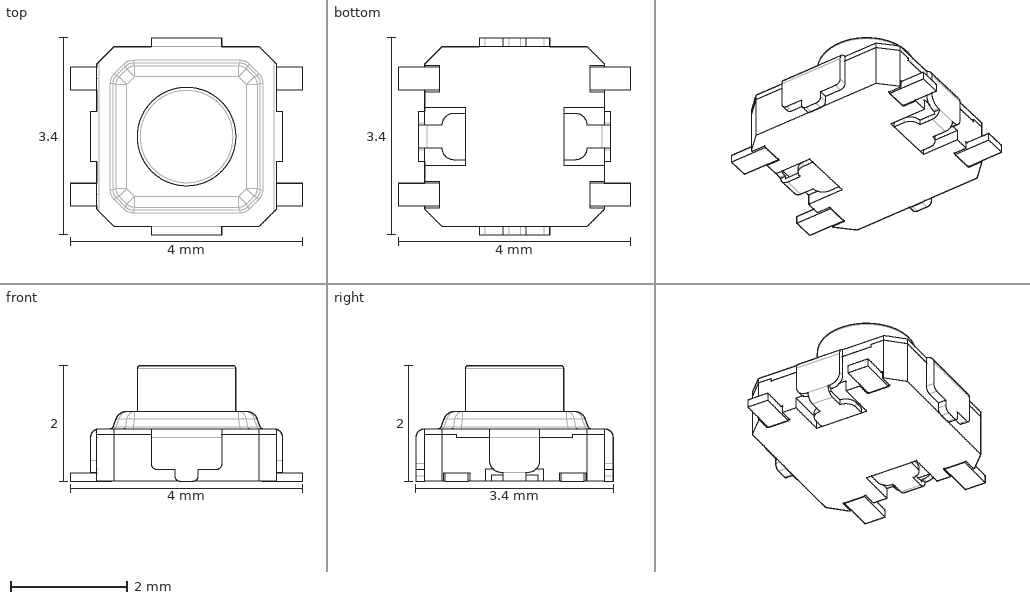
import cadquery as cq
import math

overall_length = 4.0
overall_width = 3.4
overall_height = 2.0

body_width = 3.1
body_chamfer = 0.3
base_bottom = 0.01
base_height = 0.8
sheet = 0.1
bend_radius = 1.5 * sheet

half_body = body_width / 2
arc_mid = bend_radius * math.sqrt(0.5)
base_top = base_bottom + base_height
cover_top = base_top + sheet
bend_top = cover_top - bend_radius

dome_width = 2.56
dome_chamfer = 0.28
dome_height = 0.3
dome_draft = 20.0
dome_round = 0.2
dome_root_round = sheet / 2
dome_top = cover_top + dome_height
button_diameter = 1.7
button_round = 0.05

wide_tab_width = 1.215
wide_tab_bottom = 0.21
wide_tab_round = 0.1
nub_width = 0.4

side_tab_span = 3.31
side_tab_width = 0.865
side_tab_round = 0.2
rail_width = 2.0
neck_width = 0.4
foot_width = 0.8
foot_round = 0.2
foot_length = 0.4
foot_outer_x = 1.25

half_side_span = side_tab_span / 2
foot_inner_x = foot_outer_x - foot_length
bend_center_x = half_side_span - bend_radius
curl_center_z = base_bottom + bend_radius
notch_width = 1.0
notch_height = 0.21

lead_width = 0.4
lead_height = 0.15
lead_center_y = 1.0
lead_inner_x = 1.295
lead_slot_width = 0.455

AXIS_SIGNS = (-1, 1)


def box(x_range, y_range, z_range):
    """Axis-aligned block between the given limits."""
    (x0, x1), (y0, y1), (z0, z1) = x_range, y_range, z_range
    return cq.Workplane("XY").box(x1 - x0, y1 - y0, z1 - z0, centered=False).translate((x0, y0, z0))


def centered(width):
    """Limits of a span centred on zero."""
    return (-width / 2, width / 2)


def octagon_slab(bottom, height):
    """Square block of the body outline with chamfered vertical corners."""
    slab = cq.Workplane("XY").workplane(offset=bottom).rect(body_width, body_width).extrude(height)
    return slab.edges("|Z").chamfer(body_chamfer)


def rails():
    """Downward rim strips on the left and right edges of the cover."""
    right = box((bend_center_x, half_body), centered(rail_width), (bend_top, base_top))
    return right.union(right.mirror("YZ"))


def bend_trim():
    """Right-hand corner region outside the upper bend arc, over the full body width."""
    return (
        cq.Workplane("XZ")
        .moveTo(bend_center_x, cover_top)
        .threePointArc((bend_center_x + arc_mid, bend_top + arc_mid), (half_side_span, bend_top))
        .lineTo(half_side_span, cover_top)
        .close()
        .extrude(body_width / 2, both=True)
    )


def dome():
    """Drafted octagonal dome with a rounded top and corners."""
    half = dome_width / 2
    inner = half - dome_chamfer
    outline = [
        (half, -inner), (half, inner), (inner, half), (-inner, half),
        (-half, inner), (-half, -inner), (-inner, -half), (inner, -half),
    ]
    solid = (
        cq.Workplane("XY").workplane(offset=cover_top)
        .polyline(outline).close()
        .extrude(dome_height, taper=dome_draft)
    )
    return solid.edges("not <Z").fillet(dome_round)


def wide_tab():
    """Front tab: rounded plate with a small nub, bent down over the front wall."""
    half_width = wide_tab_width / 2
    depth = overall_width / 2
    plate = box(centered(wide_tab_width), (-depth, -half_body), (wide_tab_bottom, cover_top))
    plate = plate.edges("|Y and <Z").fillet(wide_tab_round)
    nub = box(centered(nub_width), (-depth, -half_body), (0, wide_tab_bottom + wide_tab_round))
    nub = nub.edges("|Y and <Z").fillet(wide_tab_round)
    profile = (
        cq.Workplane("YZ")
        .moveTo(-half_body, 0)
        .lineTo(-depth, 0)
        .lineTo(-depth, bend_top)
        .threePointArc((-half_body - arc_mid, bend_top + arc_mid), (-half_body, cover_top))
        .close()
        .extrude(half_width, both=True)
    )
    return plate.union(nub).intersect(profile)


def side_tab():
    """Right tab: rounded plate bent down the wall, then curled inward to a foot under the base."""
    plate = box((half_body, half_side_span), centered(side_tab_width), (curl_center_z, cover_top))
    plate = plate.edges("|X and <Z").fillet(side_tab_round).cut(bend_trim())
    curl = (
        cq.Workplane("XZ")
        .moveTo(half_side_span, curl_center_z)
        .threePointArc((bend_center_x + arc_mid, curl_center_z - arc_mid), (bend_center_x, base_bottom))
        .lineTo(bend_center_x, base_bottom + sheet)
        .lineTo(half_body, base_bottom + sheet)
        .lineTo(half_body, curl_center_z)
        .close()
        .extrude(neck_width / 2, both=True)
    )
    foot_heights = (base_bottom, base_bottom + sheet)
    neck = box((foot_outer_x, bend_center_x), centered(neck_width), foot_heights)
    foot = box((foot_inner_x, foot_outer_x), centered(foot_width), foot_heights)
    foot = foot.edges("|Z and >X").fillet(foot_round)
    return plate.union(curl).union(neck).union(foot)


def make_cover():
    """Sheet cover: plate, dome, rims and four tabs."""
    cover = octagon_slab(base_top, sheet).union(dome())
    reach = dome_width / 2 + dome_root_round
    root = cq.selectors.BoxSelector((-reach, -reach, base_top), (reach, reach, cover_top + sheet / 2))
    cover = cover.edges(root).fillet(dome_root_round)
    trim = bend_trim()
    cover = cover.cut(trim).cut(trim.mirror("YZ")).union(rails())
    front, right = wide_tab(), side_tab()
    for tab in (front, front.mirror("XZ"), right, right.mirror("YZ")):
        cover = cover.union(tab)
    return cover


def make_base():
    """Moulded base with its four leads embedded in the underside."""
    base = octagon_slab(base_bottom, base_height).cut(rails())
    notch = box((foot_inner_x, half_body), centered(notch_width), (base_bottom, base_bottom + notch_height))
    base = base.cut(notch).cut(notch.mirror("YZ"))
    length = overall_length / 2 - lead_inner_x
    for x_sign in AXIS_SIGNS:
        for y_sign in AXIS_SIGNS:
            center = (x_sign * (lead_inner_x + length / 2), y_sign * lead_center_y, lead_height / 2)
            slot = cq.Workplane("XY").box(length, lead_slot_width, lead_height).translate(center)
            lead = cq.Workplane("XY").box(length, lead_width, lead_height).translate(center)
            base = base.cut(slot).union(lead)
    return base


def make_button():
    """Round push button standing on the dome."""
    button = cq.Workplane("XY").workplane(offset=dome_top).circle(button_diameter / 2)
    return button.extrude(overall_height - dome_top).faces(">Z").edges().fillet(button_round)


base = make_base()
cover = make_cover()
button = make_button()
result = cq.Compound.makeCompound([base.val(), cover.val(), button.val()])